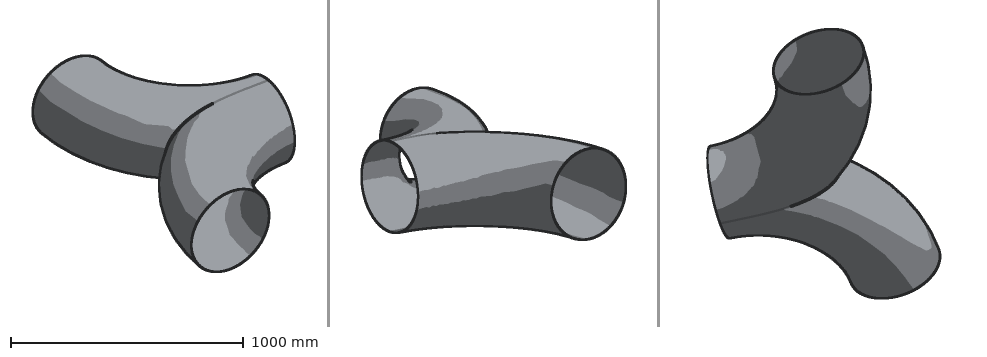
import cadquery as cq

overall_width = 1220.0
wall = 3.0
seam_width = 4.0

pipe_diameter = overall_width / 3
bend_radius = overall_width / 2
outer_radius = pipe_diameter / 2
bore_radius = outer_radius - wall


def trimmed_bend(radius):
    """Solid 90 degree bend from the shared +Y mouth to the +X mouth, cut off flat at the seam."""
    bend = (
        cq.Workplane("XZ")
        .circle(radius)
        .revolve(90, (bend_radius, 0), (bend_radius, 1))
    )
    seam_side = (
        cq.Workplane("XY")
        .box(overall_width, 2 * overall_width, overall_width, centered=(False, True, True))
        .translate((seam_width / 2, 0, 0))
    )
    return bend.intersect(seam_side)


right_bend = trimmed_bend(outer_radius).cut(trimmed_bend(bore_radius))

cut_edge = right_bend.faces("<X").val()
weld_strip = cq.Solid.extrudeLinear(cut_edge, cq.Vector(-seam_width, 0, 0))

left_bend = right_bend.mirror("YZ")
result = right_bend.union(cq.Workplane(weld_strip)).union(left_bend)